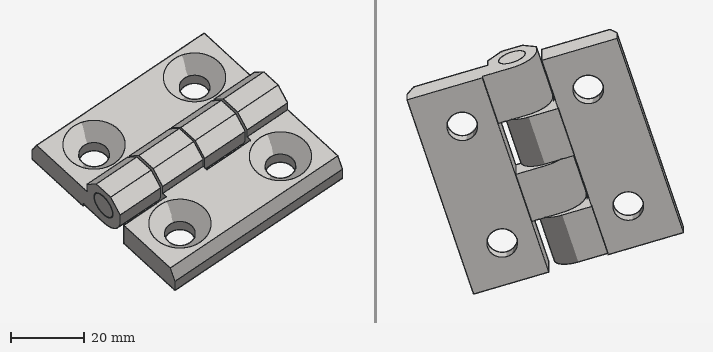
import cadquery as cq
import math

length = 60.0
width = 60.0
height = 15.0

plate_thickness = 8.0
edge_bevel_width = 2.0
edge_bevel_height = 2 * edge_bevel_width

knuckle_width = 14.0
knuckle_radius = knuckle_width / 2
knuckle_bottom = height - knuckle_width
knuckle_flat_width = 6.0
knuckle_bevel = (knuckle_width - knuckle_flat_width) / 2
side_clearance = 1.5
plate_inner_x = knuckle_radius + side_clearance

knuckle_length = 14.5
middle_gap = 0.5

pin_z = 8.5
pin_diameter = 7.6
loose_bore_diameter = 8.0

screw_spacing = 36.0
screw_diameter = 8.35
countersink_diameter = 17.0
countersink_angle = 90.0

outer_knuckle_start = -length / 2
outer_knuckle_end = outer_knuckle_start + knuckle_length
inner_knuckle_start = middle_gap / 2
inner_knuckle_end = inner_knuckle_start + knuckle_length


def extrude_along_y(profile, start, end):
    """Extrude an XZ profile from Y = start to Y = end."""
    return profile.extrude(start - end).translate((0, start, 0))


def make_plate():
    """Flat plate with a bevelled outer edge, full length."""
    profile = (
        cq.Workplane("XZ")
        .moveTo(-plate_inner_x, 0)
        .lineTo(-width / 2, 0)
        .lineTo(-width / 2, plate_thickness - edge_bevel_height)
        .lineTo(-width / 2 + edge_bevel_width, plate_thickness)
        .lineTo(-plate_inner_x, plate_thickness)
        .close()
    )
    return extrude_along_y(profile, -length / 2, length / 2)


def make_knuckle(start, end):
    """Bevelled knuckle with a rounded far underside and a web reaching its own plate."""
    arc_mid = knuckle_radius * math.sqrt(0.5)
    arc_center_z = knuckle_bottom + knuckle_radius
    profile = (
        cq.Workplane("XZ")
        .moveTo(-plate_inner_x, knuckle_bottom)
        .lineTo(0, knuckle_bottom)
        .threePointArc((arc_mid, arc_center_z - arc_mid), (knuckle_radius, arc_center_z))
        .lineTo(knuckle_radius, height - knuckle_bevel)
        .lineTo(knuckle_flat_width / 2, height)
        .lineTo(-knuckle_flat_width / 2, height)
        .lineTo(-knuckle_radius, height - knuckle_bevel)
        .lineTo(-knuckle_radius, plate_thickness)
        .lineTo(-plate_inner_x, plate_thickness)
        .close()
    )
    return extrude_along_y(profile, start, end)


def make_cylinder(diameter):
    """Full-length cylinder on the hinge axis."""
    profile = cq.Workplane("XZ").center(0, pin_z).circle(diameter / 2)
    return extrude_along_y(profile, -length / 2, length / 2)


def make_leaf(bore_diameter):
    """Leaf on the -X side: plate, two knuckles, pin bore and two countersunk screw holes."""
    leaf = make_plate()
    leaf = leaf.union(make_knuckle(outer_knuckle_start, outer_knuckle_end))
    leaf = leaf.union(make_knuckle(inner_knuckle_start, inner_knuckle_end))
    leaf = leaf.cut(make_cylinder(bore_diameter))
    return (
        leaf.copyWorkplane(cq.Workplane("XY", origin=(-screw_spacing / 2, 0, plate_thickness)))
        .pushPoints([(0, -screw_spacing / 2), (0, screw_spacing / 2)])
        .cskHole(screw_diameter, countersink_diameter, countersink_angle)
    )


left_leaf = make_leaf(loose_bore_diameter)
right_leaf = make_leaf(pin_diameter).rotate((0, 0, 0), (0, 0, 1), 180)
pin = make_cylinder(pin_diameter)

result = cq.Compound.makeCompound([left_leaf.val(), right_leaf.val(), pin.val()])